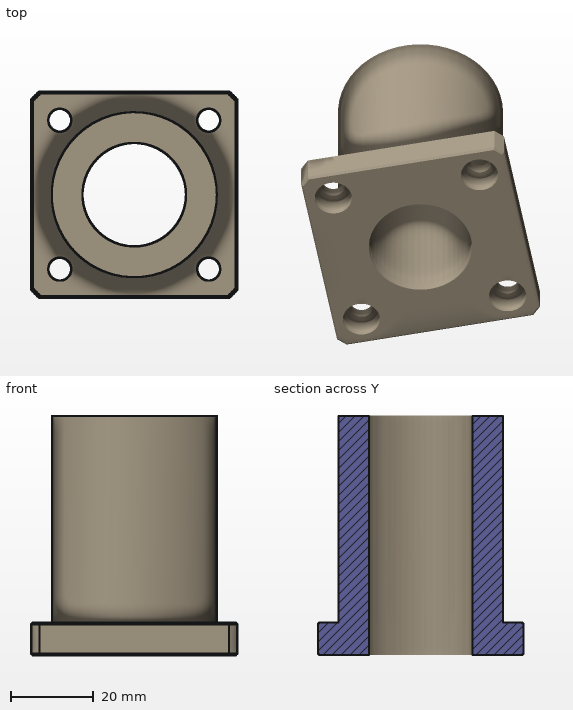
import cadquery as cq
import math

flange_side = 50.0
flange_thickness = 8.0
corner_chamfer = 2.0
edge_chamfer = 0.5

total_height = 58.0
sleeve_diameter = 40.0
bore_diameter = 25.0

bolt_circle_diameter = 51.0
hole_pitch = bolt_circle_diameter / math.sqrt(2)
hole_diameter = 5.5
counterbore_diameter = 9.0
counterbore_depth = 5.1


def make_flange():
    """Square plate with cut corners and chamfered top and bottom rims."""
    plate = cq.Workplane("XY").box(
        flange_side, flange_side, flange_thickness, centered=(True, True, False)
    )
    plate = plate.edges("|Z").chamfer(corner_chamfer)
    return plate.faces("<Z or >Z").edges().chamfer(edge_chamfer)


def make_sleeve():
    """Solid cylinder standing on the part's base plane."""
    return cq.Workplane("XY").circle(sleeve_diameter / 2).extrude(total_height)


def make_bore():
    """Cutter for the bore through the full height."""
    return cq.Workplane("XY").circle(bore_diameter / 2).extrude(total_height)


def make_mounting_holes():
    """Cutters for the four counterbored corner holes."""
    centers = cq.Workplane("XY").rect(hole_pitch, hole_pitch, forConstruction=True).vertices()
    shanks = centers.circle(hole_diameter / 2).extrude(flange_thickness)
    counterbores = centers.circle(counterbore_diameter / 2).extrude(counterbore_depth)
    return shanks.union(counterbores)


result = make_flange().union(make_sleeve()).cut(make_bore()).cut(make_mounting_holes())